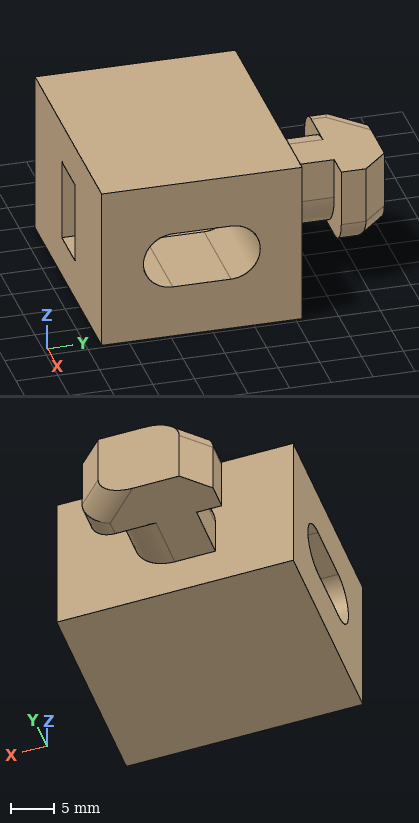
import cadquery as cq

BLOCK_WIDTH = 29.0
BLOCK_HEIGHT = 20.0
BLOCK_DEPTH = 24.0

SLOT_LENGTH = 13.98
SLOT_HEIGHT = 7.0

POCKET_WIDTH = 5.62
POCKET_HEIGHT = 10.0
POCKET_DEPTH = 20.0

TOTAL_DEPTH = 36.5
KEY_SIZE = 9.93
HEAD_DEPTH = 6.02
HEAD_OVERHANG = 3.05
HEAD_ROUND_RADIUS = 3.0

stem_radius = KEY_SIZE / 2
head_half_width = KEY_SIZE / 2 + HEAD_OVERHANG
head_start = TOTAL_DEPTH - HEAD_DEPTH
bevel_start = TOTAL_DEPTH - HEAD_OVERHANG


def make_block():
    block = cq.Workplane("XY").box(BLOCK_WIDTH, BLOCK_DEPTH, BLOCK_HEIGHT).translate((0, BLOCK_DEPTH / 2, 0))
    slot = (
        cq.Workplane("YZ")
        .center(BLOCK_DEPTH / 2, 0)
        .slot2D(SLOT_LENGTH, SLOT_HEIGHT)
        .extrude(BLOCK_WIDTH / 2, both=True)
    )
    pocket = cq.Workplane("XY").box(POCKET_WIDTH, POCKET_DEPTH, POCKET_HEIGHT)
    return block.cut(slot).cut(pocket.translate((0, POCKET_DEPTH / 2, 0)))


def make_stem():
    """Square bar with its two diagonally opposite corners fully rounded."""
    r = stem_radius
    outline = (
        cq.Workplane("XZ", origin=(0, BLOCK_DEPTH, 0))
        .moveTo(-r, -r)
        .lineTo(0, -r)
        .radiusArc((r, 0), -r)
        .lineTo(r, r)
        .lineTo(0, r)
        .radiusArc((-r, 0), -r)
        .close()
    )
    return outline.extrude(-(head_start - BLOCK_DEPTH))


def make_head():
    """Bevelled plate with rounded edges on the upper left and lower right."""
    head = (
        cq.Workplane("XY", origin=(0, 0, -KEY_SIZE / 2))
        .polyline([
            (-head_half_width, head_start),
            (head_half_width, head_start),
            (head_half_width, bevel_start),
            (KEY_SIZE / 2, TOTAL_DEPTH),
            (-KEY_SIZE / 2, TOTAL_DEPTH),
            (-head_half_width, bevel_start),
        ])
        .close()
        .extrude(KEY_SIZE)
    )
    bevel_middle = (KEY_SIZE + HEAD_OVERHANG) / 2
    for side, face in ((-1, ">Z"), (1, "<Z")):
        edge_limits = cq.selectors.BoxSelector(
            (side * bevel_middle * 0.99, head_start, -KEY_SIZE),
            (side * head_half_width * 1.01, TOTAL_DEPTH, KEY_SIZE),
        )
        head = head.faces(face).edges(edge_limits).fillet(HEAD_ROUND_RADIUS)
    return head


result = make_block().union(make_stem()).union(make_head())